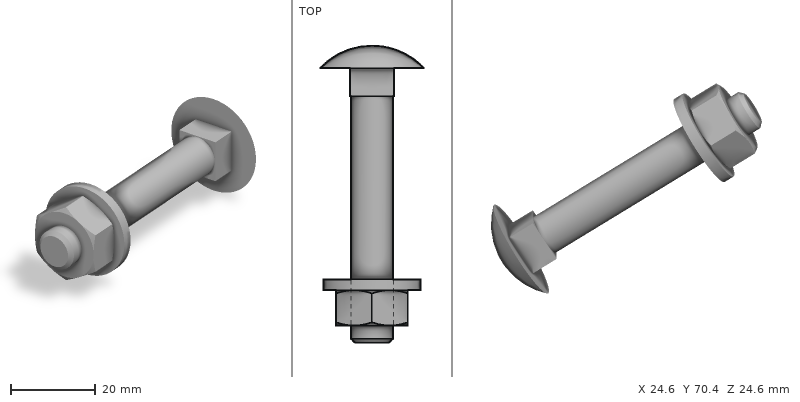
import cadquery as cq
import math

OVERALL_LENGTH = 70.4
HEAD_DIAMETER = 24.6
HEAD_HEIGHT = 5.35
NECK_WIDTH = 10.5
NECK_LENGTH = 6.6
SHANK_DIAMETER = 10.0
TIP_CHAMFER = 1.0
TIP_PROTRUSION = 4.1
WASHER_DIAMETER = 23.0
WASHER_THICKNESS = 2.5
NUT_ACROSS_FLATS = 17.0
NUT_HEIGHT = 8.4
NUT_CHAMFER_ANGLE = 30.0

SHANK_LENGTH = OVERALL_LENGTH - HEAD_HEIGHT
SHANK_RADIUS = SHANK_DIAMETER / 2
NUT_OUTER_Y = TIP_PROTRUSION - SHANK_LENGTH
NUT_INNER_Y = NUT_OUTER_Y + NUT_HEIGHT
WASHER_INNER_Y = NUT_INNER_Y + WASHER_THICKNESS


def plane_facing_tip(y):
    """XZ workplane at the given Y, extruding toward the tip."""
    return cq.Workplane("XZ", origin=(0, y, 0))


def make_head():
    """Domed head: a spherical cap with a sharp rim."""
    head_radius = HEAD_DIAMETER / 2
    dome_radius = (head_radius**2 + HEAD_HEIGHT**2) / (2 * HEAD_HEIGHT)
    dome_center_y = HEAD_HEIGHT - dome_radius
    half_angle = math.asin(head_radius / dome_radius) / 2
    arc_middle = (
        dome_radius * math.sin(half_angle),
        dome_center_y + dome_radius * math.cos(half_angle),
    )
    return (
        cq.Workplane("XY")
        .lineTo(head_radius, 0)
        .threePointArc(arc_middle, (0, HEAD_HEIGHT))
        .close()
        .revolve(360, (0, 0), (0, 1))
    )


def make_bolt():
    """Carriage bolt: domed head, square neck and round shank with a chamfered tip."""
    neck = plane_facing_tip(0).rect(NECK_WIDTH, NECK_WIDTH).extrude(NECK_LENGTH)
    shank = plane_facing_tip(0).circle(SHANK_RADIUS).extrude(SHANK_LENGTH)
    shank = shank.faces("<Y").chamfer(TIP_CHAMFER)
    return make_head().union(neck).union(shank).solids()


def make_washer():
    """Flat ring that fits the shank."""
    return (
        plane_facing_tip(WASHER_INNER_Y)
        .circle(WASHER_DIAMETER / 2)
        .circle(SHANK_RADIUS)
        .extrude(WASHER_THICKNESS)
    )


def make_nut():
    """Hexagon nut, two corners on the Z axis, with conical corner chamfers at both ends."""
    corner_radius = NUT_ACROSS_FLATS / math.sqrt(3)
    flat_radius = NUT_ACROSS_FLATS / 2
    chamfer_height = (corner_radius - flat_radius) * math.tan(math.radians(NUT_CHAMFER_ANGLE))
    hexagon = (
        plane_facing_tip(NUT_INNER_Y)
        .transformed(rotate=(0, 0, 90))
        .polygon(6, 2 * corner_radius)
        .extrude(NUT_HEIGHT)
    )
    chamfer_envelope = (
        cq.Workplane("XY")
        .moveTo(0, NUT_OUTER_Y)
        .lineTo(flat_radius, NUT_OUTER_Y)
        .lineTo(corner_radius, NUT_OUTER_Y + chamfer_height)
        .lineTo(corner_radius, NUT_INNER_Y - chamfer_height)
        .lineTo(flat_radius, NUT_INNER_Y)
        .lineTo(0, NUT_INNER_Y)
        .close()
        .revolve(360, (0, 0), (0, 1))
    )
    bore = plane_facing_tip(NUT_INNER_Y).circle(SHANK_RADIUS).extrude(NUT_HEIGHT)
    return hexagon.intersect(chamfer_envelope).cut(bore).solids()


bolt = make_bolt()
washer = make_washer()
nut = make_nut()

result = cq.Compound.makeCompound([bolt.val(), washer.val(), nut.val()])